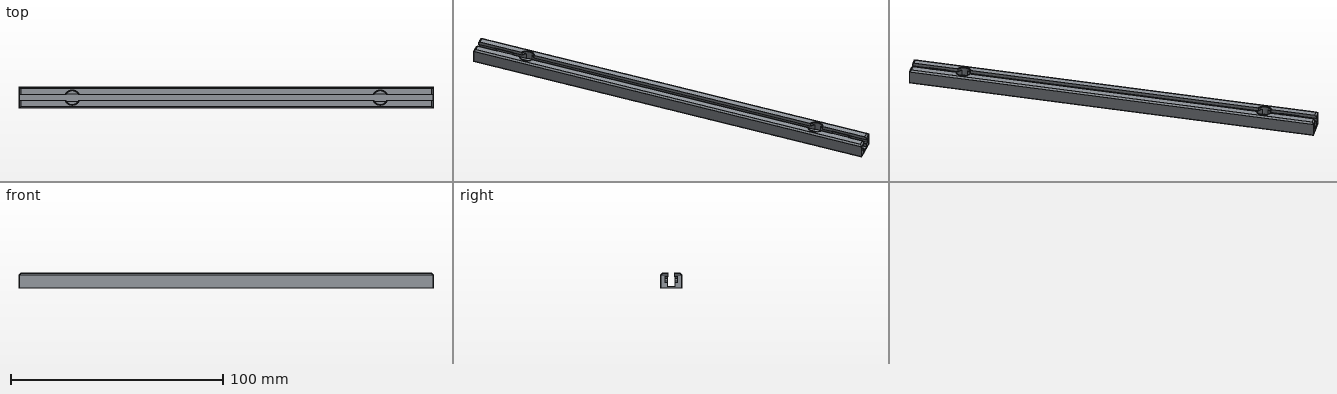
import cadquery as cq

length = 195.0
width = 10.0
height = 7.0
edge_chamfer = 0.8

lip_gap = 3.0
lip_thickness = 1.65
channel_width = 3.5
floor_thickness = 0.8
lip_underside = height - lip_thickness

tee_width = 6.0
tee_bottom = 2.5
end_pocket_depth = 9.0
stop_length = 8.2
stop_chamfer = 0.8
middle_tee_length = length - 2 * (end_pocket_depth + stop_length)

entry_radius = 3.3
entry_rim_chamfer = 0.3
entry_inset = 25.0


def bar_along_x(bar_length, bar_width, bottom, top):
    """Box centred on the rail in X and Y, spanning bottom to top in Z."""
    return (
        cq.Workplane("XY", origin=(0, 0, bottom))
        .box(bar_length, bar_width, top - bottom, centered=(True, True, False))
    )


def end_pocket():
    """T-slot pocket at the -X end; its stop face is chamfered above and below."""
    mouth = -length / 2
    stop = mouth + end_pocket_depth
    side_outline = [
        (mouth, tee_bottom),
        (stop - stop_chamfer, tee_bottom),
        (stop, tee_bottom + stop_chamfer),
        (stop, lip_underside - stop_chamfer),
        (stop - stop_chamfer, lip_underside),
        (mouth, lip_underside),
    ]
    return cq.Workplane("XZ").polyline(side_outline).close().extrude(tee_width / 2, both=True)


def entry_hole(x):
    """Blind hole from the top face down to the T-slot floor, with a chamfered rim."""
    bore = (
        cq.Workplane("XY", origin=(x, 0, tee_bottom))
        .circle(entry_radius)
        .extrude(height - tee_bottom)
    )
    rim = (
        cq.Workplane("XY", origin=(x, 0, height - entry_rim_chamfer))
        .circle(entry_radius)
        .workplane(offset=entry_rim_chamfer)
        .circle(entry_radius + entry_rim_chamfer)
        .loft(combine=True)
    )
    return bore.union(rim)


rail = cq.Workplane("XY").box(length, width, height, centered=(True, True, False))
rail = rail.faces(">Z").edges().chamfer(edge_chamfer)

rail = rail.cut(bar_along_x(length, lip_gap, floor_thickness, height))
rail = rail.cut(bar_along_x(length, channel_width, floor_thickness, lip_underside))
rail = rail.cut(bar_along_x(middle_tee_length, tee_width, tee_bottom, lip_underside))

left_pocket = end_pocket()
rail = rail.cut(left_pocket)
rail = rail.cut(left_pocket.mirror("YZ"))

for side in (-1, 1):
    rail = rail.cut(entry_hole(side * (length / 2 - entry_inset)))

result = rail